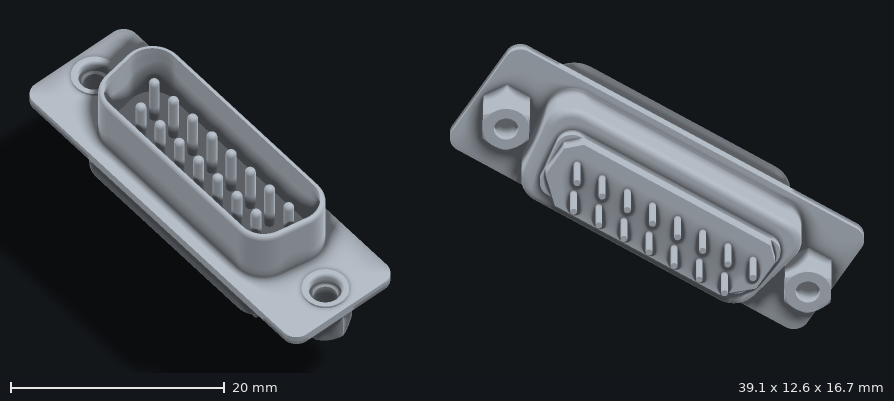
import cadquery as cq
import math


flange_length = 39.15
flange_width = 12.55
flange_thickness = 1.0
flange_corner_radius = 1.5

side_slope = math.radians(10)

shell_length = 26.38
shell_width = 9.25
shell_height = 6.05
shell_corner_radius = 3.05
shell_wall = 0.5
shell_rim_radius = 0.47
shell_floor = 0.6
shell_foot_radius = 0.25

rear_length = 27.48
rear_width = 10.7
rear_depth = 4.0
rear_corner_radius = 2.55
rear_edge_radius = 0.75
rear_foot_radius = 0.2

neck_length = 24.23
neck_width = 6.95
neck_depth = 0.95
neck_corner_radius = 1.55
block_length = 23.25
block_top_y = 3.55
block_bottom_y = -neck_width / 2
block_depth = 1.3
block_large_cut_x = 2.55
block_large_cut_y = 2.4
block_small_cut = 1.35

contact_pitch = 2.77
contact_row_y = 1.4
long_row_count = 8
short_row_count = 7
contact_radius = 0.5
contact_tip_recess = 1.05
tail_radius = 0.325
tail_length = 3.4

nut_spacing = 33.25
nut_across_flats = 4.35
nut_depth = 3.9
collar_radius = 2.25
collar_height = 0.25
nut_counterbore_radius = 1.53
nut_mouth_radius = 0.4
nut_hole_radius = 1.15

level_tolerance = 0.005

flange_top = flange_thickness
shell_top = flange_top + shell_height
rear_bottom = -rear_depth
neck_bottom = rear_bottom - neck_depth
block_bottom = neck_bottom - block_depth
tail_bottom = block_bottom - tail_length
contact_tip = shell_top - contact_tip_recess


def d_prism(length, width, corner_radius, z_bottom, z_top):
    """Rounded D-shaped prism; length is the largest X size, near the +Y edge."""
    arc_y = width / 2 - corner_radius
    upper_arc_x = length / 2 - corner_radius
    lower_arc_x = upper_arc_x - 2 * arc_y * math.tan(side_slope)

    upper_x = upper_arc_x + corner_radius * math.tan(math.pi / 4 + side_slope / 2)
    lower_x = lower_arc_x + corner_radius * math.tan(math.pi / 4 - side_slope / 2)
    corners = [
        (-upper_x, width / 2),
        (upper_x, width / 2),
        (lower_x, -width / 2),
        (-lower_x, -width / 2),
    ]
    return (
        cq.Workplane("XY", origin=(0, 0, z_bottom))
        .polyline(corners)
        .close()
        .extrude(z_top - z_bottom)
        .edges("not(#Z)")
        .fillet(corner_radius)
    )


def cylinder(radius, x, y, z_bottom, z_top):
    return cq.Workplane("XY", origin=(x, y, z_bottom)).circle(radius).extrude(z_top - z_bottom)


def foot_edges(z):
    """Selects the edges at level z inside the flange border, where a shell meets the flange."""
    reach_x = rear_length / 2
    reach_y = (rear_width + flange_width) / 4
    return cq.selectors.BoxSelector(
        (-reach_x, -reach_y, z - level_tolerance),
        (reach_x, reach_y, z + level_tolerance),
    )


def shells_and_flange():
    """Flange with both shells, blended where the shells meet it."""
    flange = (
        cq.Workplane("XY")
        .rect(flange_length, flange_width)
        .extrude(flange_thickness)
        .edges("|Z")
        .fillet(flange_corner_radius)
    )
    front = d_prism(shell_length, shell_width, shell_corner_radius, flange_top, shell_top)
    front = front.faces(">Z").edges().fillet(shell_rim_radius)
    rear = d_prism(rear_length, rear_width, rear_corner_radius, rear_bottom, 0)
    rear = rear.faces("<Z").edges().fillet(rear_edge_radius)

    body = flange.union(front).union(rear)
    body = body.edges(foot_edges(flange_top)).fillet(shell_foot_radius)
    body = body.edges(foot_edges(0)).fillet(rear_foot_radius)

    cavity = d_prism(
        shell_length - 2 * shell_wall,
        shell_width - 2 * shell_wall,
        shell_corner_radius - shell_wall,
        shell_floor,
        shell_top,
    )
    return body.cut(cavity)


def insulator():
    neck = d_prism(neck_length, neck_width, neck_corner_radius, neck_bottom, rear_bottom)
    half_length = block_length / 2
    right_side = [
        (half_length - block_small_cut, block_top_y),
        (half_length, block_top_y - block_small_cut),
        (half_length, block_bottom_y + block_large_cut_y),
        (half_length - block_large_cut_x, block_bottom_y),
    ]
    left_side = [(-x, y) for x, y in reversed(right_side)]
    block = (
        cq.Workplane("XY", origin=(0, 0, block_bottom))
        .polyline(right_side + left_side)
        .close()
        .extrude(block_depth)
    )
    return neck.union(block)


def contact(x, y):
    """Round-tipped pin in the shell with a thinner tail behind the insulator."""
    pin = cylinder(contact_radius, x, y, shell_floor, contact_tip - contact_radius)
    tip = cq.Workplane("XY", origin=(x, y, contact_tip - contact_radius)).sphere(contact_radius)
    tail = cylinder(tail_radius, x, y, tail_bottom, block_bottom)
    return pin.union(tip), tail


def jack_nut(x):
    """Hexagon with corners on the X axis, bevelled at its free end, plus the collar."""
    flat_radius = nut_across_flats / 2
    corner_radius = flat_radius / math.cos(math.pi / 6)
    hexagon = cq.Workplane("XY", origin=(x, 0, -nut_depth)).polygon(6, 2 * corner_radius).extrude(nut_depth)
    bevel = cylinder(corner_radius, x, 0, -nut_depth, 0)
    bevel = bevel.faces("<Z").chamfer(corner_radius - flat_radius)
    collar = cylinder(collar_radius, x, 0, flange_top, flange_top + collar_height)
    return hexagon.intersect(bevel).union(collar)


def jack_bore(x):
    """Through hole with a counterbore, rounded at the mouth, down to the nut."""
    top = flange_top + collar_height
    half_profile = (
        cq.Workplane("XZ", origin=(x, 0, 0))
        .moveTo(0, -nut_depth)
        .lineTo(nut_hole_radius, -nut_depth)
        .lineTo(nut_hole_radius, 0)
        .lineTo(nut_counterbore_radius, 0)
        .lineTo(nut_counterbore_radius, top - nut_mouth_radius)
        .radiusArc((nut_counterbore_radius + nut_mouth_radius, top), nut_mouth_radius)
        .lineTo(0, top)
        .close()
    )
    return half_profile.revolve(360, (0, 0, 0), (0, 1, 0))


result = shells_and_flange().union(insulator())

for row_count, row_y in ((long_row_count, contact_row_y), (short_row_count, -contact_row_y)):
    for index in range(row_count):
        contact_x = (index - (row_count - 1) / 2) * contact_pitch
        for contact_part in contact(contact_x, row_y):
            result = result.union(contact_part)

for nut_x in (-nut_spacing / 2, nut_spacing / 2):
    result = result.union(jack_nut(nut_x)).cut(jack_bore(nut_x))